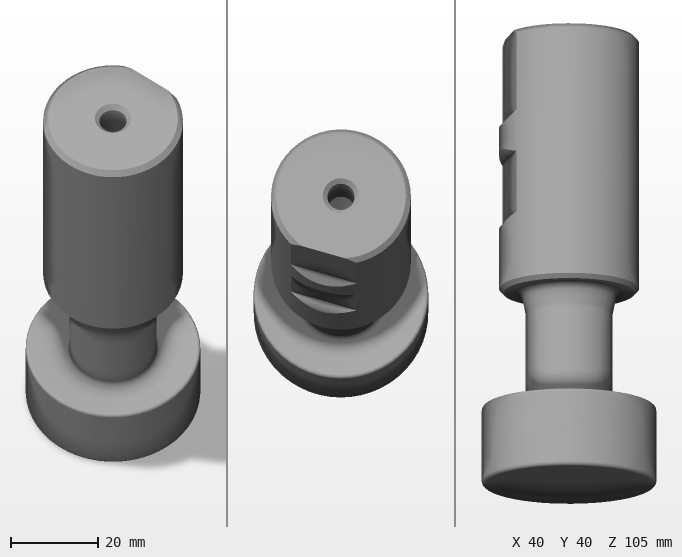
import cadquery as cq
import math

total_height = 105.0
disc_height = 9.0
flange_rim_z = 18.1

flange_radius = 40.0 / 2
rim_fillet = 0.68
disc_bottom_fillet = 0.8
dish_depth = 1.3
dish_inner_radius = 11.1

neck_radius = 20.0 / 2
root_fillet = 1.0
neck_cone_angle = math.radians(12)
neck_cone_bottom_z = 40.5
neck_lower_blend = 4.0
neck_upper_blend = 1.6

shank_radius = 32.0 / 2
shank_bottom_z = 45.0
shank_top_chamfer = 1.2
shank_bottom_chamfer = 1.0

flat_y = 14.0
flat_depth = shank_radius - flat_y
top_flat_end_z = 85.8
recess_z = 68.9
recess_floor_width = 14.4
recess_mouth_width = 18.5
recess_wall_bulge = 0.3
cutter_margin = 1.0

hole_radius = 6.2 / 2
hole_mouth_radius = 8.3 / 2
hole_depth = 12.6
drill_half_angle = math.radians(59)


def make_disc():
    """Plain disc under the flange, with its lower edge rounded."""
    disc = cq.Workplane("XY").circle(flange_radius).extrude(disc_height)
    return disc.faces("<Z").edges().fillet(disc_bottom_fillet)


def make_turned_body():
    """Flange with a dished top, neck and shank, revolved about Z."""
    sine = math.sin(neck_cone_angle)
    cosine = math.cos(neck_cone_angle)
    half_sine = math.sin(neck_cone_angle / 2)
    half_cosine = math.cos(neck_cone_angle / 2)

    rim_radius = flange_radius - rim_fillet
    rim_mid_offset = rim_fillet * (1 - math.cos(math.pi / 4))
    rim_mid = (flange_radius - rim_mid_offset, flange_rim_z - rim_mid_offset)
    dish_z = flange_rim_z - dish_depth
    root_center_r = neck_radius + root_fillet
    dish_slope = math.atan2(dish_depth, rim_radius - dish_inner_radius)
    root_center_z = dish_z + root_fillet * math.cos(dish_slope)
    dish_end_r = root_center_r + root_fillet * math.sin(dish_slope)
    root_mid = (
        root_center_r - root_fillet * math.sin(math.pi / 4 - dish_slope / 2),
        root_center_z - root_fillet * math.cos(math.pi / 4 - dish_slope / 2),
    )

    lower_center_r = neck_radius + neck_lower_blend
    lower_center_z = neck_cone_bottom_z - neck_lower_blend * sine
    lower_mid = (
        lower_center_r - neck_lower_blend * half_cosine,
        lower_center_z + neck_lower_blend * half_sine,
    )
    cone_bottom_r = lower_center_r - neck_lower_blend * cosine

    upper_center_z = shank_bottom_z - neck_upper_blend
    cone_top_z = upper_center_z + neck_upper_blend * sine
    cone_top_r = cone_bottom_r + (cone_top_z - neck_cone_bottom_z) * math.tan(neck_cone_angle)
    upper_center_r = cone_top_r + neck_upper_blend * cosine
    upper_mid_angle = math.pi / 4 + neck_cone_angle / 2
    upper_mid = (
        upper_center_r - neck_upper_blend * math.cos(upper_mid_angle),
        upper_center_z + neck_upper_blend * math.sin(upper_mid_angle),
    )

    profile = (
        cq.Workplane("XZ")
        .moveTo(0, disc_height)
        .lineTo(flange_radius, disc_height)
        .lineTo(flange_radius, flange_rim_z - rim_fillet)
        .threePointArc(rim_mid, (rim_radius, flange_rim_z))
        .lineTo(dish_end_r, dish_z)
        .threePointArc(root_mid, (neck_radius, root_center_z))
        .lineTo(neck_radius, lower_center_z)
        .threePointArc(lower_mid, (cone_bottom_r, neck_cone_bottom_z))
        .lineTo(cone_top_r, cone_top_z)
        .threePointArc(upper_mid, (upper_center_r, shank_bottom_z))
        .lineTo(shank_radius - shank_bottom_chamfer, shank_bottom_z)
        .lineTo(shank_radius, shank_bottom_z + shank_bottom_chamfer)
        .lineTo(shank_radius, total_height - shank_top_chamfer)
        .lineTo(shank_radius - shank_top_chamfer, total_height)
        .lineTo(0, total_height)
        .close()
    )
    return profile.revolve(360, (0, 0, 0), (0, 1, 0))


def make_top_flat_cutter():
    """Flat running out through the shank end, closed by a 45 degree ramp."""
    reach = flat_depth + cutter_margin
    return (
        cq.Workplane("YZ")
        .moveTo(flat_y, total_height + cutter_margin)
        .lineTo(flat_y, top_flat_end_z)
        .lineTo(flat_y + reach, top_flat_end_z - reach)
        .lineTo(flat_y + reach, total_height + cutter_margin)
        .close()
        .extrude(shank_radius, both=True)
    )


def make_recess_cutter():
    """Cross slot with a flat floor and walls that bulge slightly into it."""
    floor_half = recess_floor_width / 2
    mouth_half = recess_mouth_width / 2
    outer_y = shank_radius + cutter_margin

    wall_run = mouth_half - floor_half
    wall_chord = math.hypot(wall_run, flat_depth)
    mid_y = (flat_y + shank_radius) / 2 + recess_wall_bulge * wall_run / wall_chord
    mid_half = (floor_half + mouth_half) / 2 - recess_wall_bulge * flat_depth / wall_chord

    return (
        cq.Workplane("YZ")
        .moveTo(flat_y, recess_z - floor_half)
        .lineTo(flat_y, recess_z + floor_half)
        .threePointArc((mid_y, recess_z + mid_half), (shank_radius, recess_z + mouth_half))
        .lineTo(outer_y, recess_z + mouth_half)
        .lineTo(outer_y, recess_z - mouth_half)
        .lineTo(shank_radius, recess_z - mouth_half)
        .threePointArc((mid_y, recess_z - mid_half), (flat_y, recess_z - floor_half))
        .close()
        .extrude(shank_radius, both=True)
    )


def make_center_hole_cutter():
    """Blind drilled hole with a 45 degree countersink and a conical bottom."""
    countersink_depth = hole_mouth_radius - hole_radius
    tip_height = hole_radius / math.tan(drill_half_angle)
    hole_bottom_z = total_height - hole_depth
    return (
        cq.Workplane("XZ")
        .moveTo(0, total_height)
        .lineTo(hole_mouth_radius, total_height)
        .lineTo(hole_radius, total_height - countersink_depth)
        .lineTo(hole_radius, hole_bottom_z)
        .lineTo(0, hole_bottom_z - tip_height)
        .close()
        .revolve(360, (0, 0, 0), (0, 1, 0))
    )


def make_holder():
    """Flanged shank with its clamping flats and centre hole."""
    holder = make_turned_body()
    holder = holder.cut(make_top_flat_cutter())
    holder = holder.cut(make_recess_cutter())
    return holder.cut(make_center_hole_cutter())


disc = make_disc()
holder = make_holder()

result = cq.Compound.makeCompound([disc.val(), holder.val()])